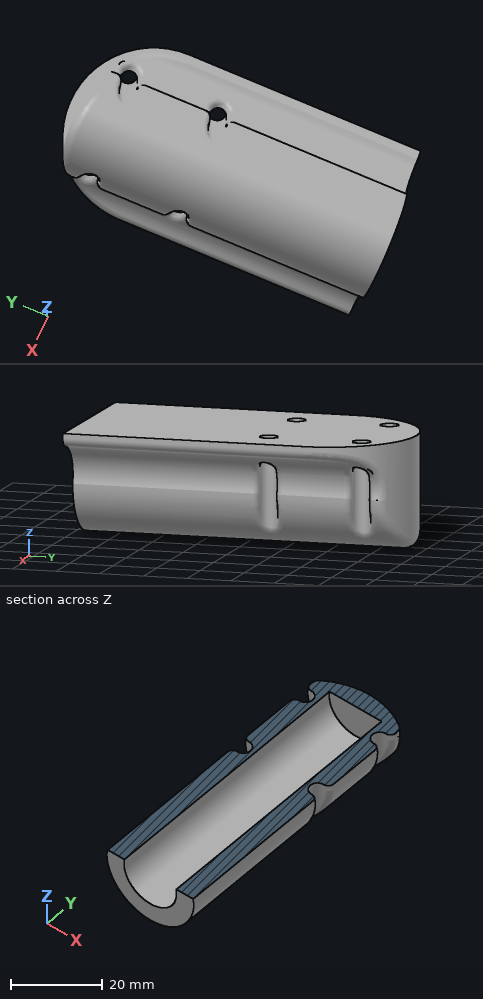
import cadquery as cq
import math

length = 75.0
plate_width = 40.0
plate_thickness = 3.0
barrel_diameter = 25.0
bore_diameter = 15.0
neck_radius = 7.5
edge_radius = 2.0
screw_hole_diameter = 4.0
screw_circle_diameter = 30.0
slot_top_height = 7.35
slot_edge_radius = 1.5
tolerance = 0.01

half_width = plate_width / 2
barrel_radius = barrel_diameter / 2
plate_top = barrel_radius
plate_underside = plate_top - plate_thickness
nose_center_y = length - half_width
bore_depth = length - (barrel_radius - bore_diameter / 2)
screw_offset = screw_circle_diameter / 2 * math.sqrt(0.5)
screw_radius = screw_hole_diameter / 2


def soften_rim(body):
    """Round the lower edges of the plate sides and of the whole nose."""
    rim_edges = []
    for edge in body.edges().vals():
        box = edge.BoundingBox()
        below_plate_top = box.zmax < plate_top - plate_thickness / 2
        on_nose = edge.Center().y > nose_center_y
        on_plate_side = box.xmax < tolerance - half_width or box.xmin > half_width - tolerance
        if below_plate_top and (on_nose or on_plate_side):
            rim_edges.append(edge)
    return body.newObject(rim_edges).fillet(edge_radius)


def make_body():
    """Barrel blended into a flat plate, with a round nose and softened edges."""
    neck_z = plate_underside - neck_radius
    neck_x = barrel_radius + math.sqrt(neck_radius**2 - neck_z**2)
    low_end_angle = math.pi + math.atan2(neck_z, neck_x - barrel_radius)
    mid_angle = (math.pi / 2 + low_end_angle) / 2
    mid_x = neck_x + neck_radius * math.cos(mid_angle)
    mid_z = neck_z + neck_radius * math.sin(mid_angle)

    profile = (
        cq.Workplane("XZ")
        .moveTo(-half_width, plate_top)
        .lineTo(half_width, plate_top)
        .lineTo(half_width, plate_underside)
        .lineTo(neck_x, plate_underside)
        .threePointArc((mid_x, mid_z), (barrel_radius, 0))
        .threePointArc((0, -barrel_radius), (-barrel_radius, 0))
        .threePointArc((-mid_x, mid_z), (-neck_x, plate_underside))
        .lineTo(-half_width, plate_underside)
        .close()
        .extrude(-length)
    )
    outline = (
        cq.Workplane("XY", origin=(0, 0, -barrel_radius))
        .moveTo(-half_width, 0)
        .lineTo(half_width, 0)
        .lineTo(half_width, nose_center_y)
        .threePointArc((0, length), (-half_width, nose_center_y))
        .close()
        .extrude(barrel_diameter)
    )
    body = profile.intersect(outline)
    return soften_rim(body)


def screw_cutter(side, y):
    """Vertical screw hole opened sideways by a slot with a round top."""
    x = side * screw_offset
    hole = cq.Workplane("XY", origin=(x, y, -barrel_radius)).circle(screw_radius).extrude(barrel_diameter)
    slot_center_z = slot_top_height - screw_radius
    slot_height = slot_center_z + barrel_radius
    slot = (
        cq.Workplane("YZ", origin=(x, y, 0))
        .center(0, slot_center_z - slot_height / 2)
        .rect(screw_hole_diameter, slot_height)
        .extrude(side * half_width)
    )
    slot_top = (
        cq.Workplane("YZ", origin=(x, y, slot_center_z)).circle(screw_radius).extrude(side * half_width)
    )
    return hole.union(slot).union(slot_top)


def soften_slot_mouth(body, y):
    """Round the outer edges of the two opposite screw slots at one Y position."""
    mouth_edges = []
    for edge in body.edges().vals():
        box = edge.BoundingBox()
        around_hole = box.ymin > y - screw_radius - tolerance and box.ymax < y + screw_radius + tolerance
        below_slot_top = box.zmax < slot_top_height + tolerance
        on_outer_surface = edge.geomType() in ("CIRCLE", "BSPLINE")
        if around_hole and below_slot_top and on_outer_surface:
            mouth_edges.append(edge)
    return body.newObject(mouth_edges).fillet(slot_edge_radius)


result = make_body()
for hole_y in (nose_center_y - screw_offset, nose_center_y + screw_offset):
    for side in (-1, 1):
        result = result.cut(screw_cutter(side, hole_y))
    result = soften_slot_mouth(result, hole_y)

bore = cq.Workplane("XZ").circle(bore_diameter / 2).extrude(-bore_depth)
result = result.cut(bore)